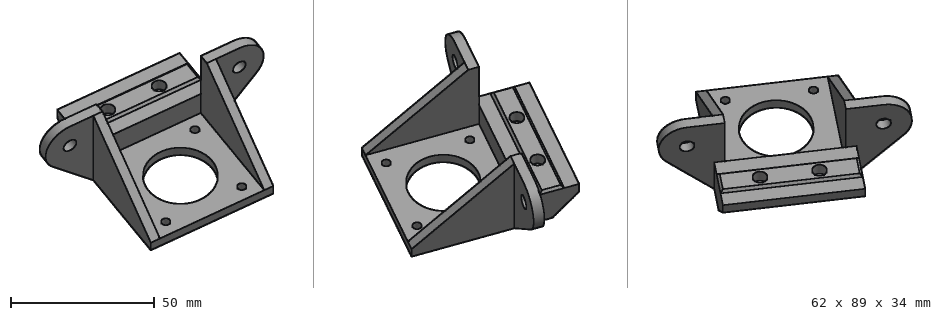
import cadquery as cq
import math

total_length = 62.0
total_width = 89.0
total_height = 34.0

body_width = 50.0
plate_thickness = 4.0
side_wall = 3.7
inner_half_width = body_width / 2 - side_wall

block_length = 20.0
block_height = 14.0
block_bevel = block_height - plate_thickness
rail_height = 1.0
rail_base_width = 9.0
rail_top_width = 7.0
rail_x = block_length / 2
rail_hole_diameter = 5.2
rail_hole_spacing = 20.9
screw_head_diameter = 10.0
screw_head_depth = block_bevel
screw_membrane = 0.3

motor_x = (block_length + total_length) / 2
motor_bore_diameter = 26.0
motor_screw_diameter = 3.2
motor_screw_spacing = 31.0

lug_radius = 10.0
pivot_diameter = 5.2
pivot_y = total_width / 2 - lug_radius
pivot_z = total_height - lug_radius


def make_base():
    """Flat plate under the motor, full body width."""
    return cq.Workplane("XY", origin=(block_length, 0, 0)).box(
        total_length - block_length, body_width, plate_thickness, centered=(False, True, False)
    )


def make_block():
    """Front block with its lower front edge bevelled at 45 degrees."""
    return (
        cq.Workplane("XZ")
        .moveTo(block_bevel, 0)
        .lineTo(block_length, 0)
        .lineTo(block_length, block_height)
        .lineTo(0, block_height)
        .lineTo(0, block_bevel)
        .close()
        .extrude(body_width / 2, both=True)
    )


def make_rail():
    """Locating rail on the block, tapering inward on all four sides."""
    taper_angle = math.degrees(math.atan((rail_base_width - rail_top_width) / 2 / rail_height))
    return (
        cq.Workplane("XY", origin=(rail_x, 0, block_height))
        .rect(rail_base_width, body_width)
        .extrude(rail_height, taper=taper_angle)
    )


def make_side_wall():
    """Sloping wall on the +Y side, from the top of the lug down to the base plate."""
    return (
        cq.Workplane("XZ", origin=(0, body_width / 2, 0))
        .moveTo(block_length, 0)
        .lineTo(total_length, 0)
        .lineTo(total_length, plate_thickness)
        .lineTo(block_length + plate_thickness, total_height)
        .lineTo(block_length, total_height)
        .close()
        .extrude(side_wall)
    )


def make_lug():
    """Pivot lug on the +Y side; its lower edge runs from the body's bottom corner, tangent to the round end."""
    corner_y = body_width / 2
    corner_to_pivot = math.hypot(pivot_y - corner_y, pivot_z)
    edge_angle = math.atan2(pivot_z, pivot_y - corner_y) - math.asin(lug_radius / corner_to_pivot)
    tangent_point = (
        pivot_y + lug_radius * math.sin(edge_angle),
        pivot_z - lug_radius * math.cos(edge_angle),
    )
    return (
        cq.Workplane("YZ", origin=(block_length, 0, 0))
        .moveTo(inner_half_width, 0)
        .lineTo(corner_y, 0)
        .lineTo(*tangent_point)
        .threePointArc((pivot_y + lug_radius, pivot_z), (pivot_y, total_height))
        .lineTo(inner_half_width, total_height)
        .close()
        .extrude(plate_thickness)
    )


def pivot_cutter():
    """Pivot bores along X through both lugs."""
    return (
        cq.Workplane("YZ", origin=(block_length, 0, 0))
        .pushPoints([(-pivot_y, pivot_z), (pivot_y, pivot_z)])
        .circle(pivot_diameter / 2)
        .extrude(plate_thickness)
    )


def motor_cutter():
    """Central bore and four screw holes through the base plate."""
    plane = cq.Workplane("XY", origin=(motor_x, 0, 0))
    bore = plane.circle(motor_bore_diameter / 2).extrude(plate_thickness)
    screws = (
        plane.rect(motor_screw_spacing, motor_screw_spacing, forConstruction=True)
        .vertices()
        .circle(motor_screw_diameter / 2)
        .extrude(plate_thickness)
    )
    return bore.union(screws)


def rail_screw_cutter():
    """Two screw holes from the rail top and two head recesses from below, parted by a thin web."""
    hole_floor = screw_head_depth + screw_membrane
    shanks = (
        cq.Workplane("XY", origin=(rail_x, 0, hole_floor))
        .rarray(0.9, rail_hole_spacing, 1, 2)
        .circle(rail_hole_diameter / 2)
        .extrude(block_height + rail_height - hole_floor)
    )
    heads = (
        cq.Workplane("XY", origin=(rail_x, 0, 0))
        .rarray(0.9, rail_hole_spacing, 1, 2)
        .circle(screw_head_diameter / 2)
        .extrude(screw_head_depth)
    )
    return shanks.union(heads)


flank = make_side_wall().union(make_lug())
body = make_base().union(make_block()).union(make_rail())
body = body.union(flank).union(flank.mirror("XZ"))
result = body.cut(pivot_cutter()).cut(motor_cutter()).cut(rail_screw_cutter())